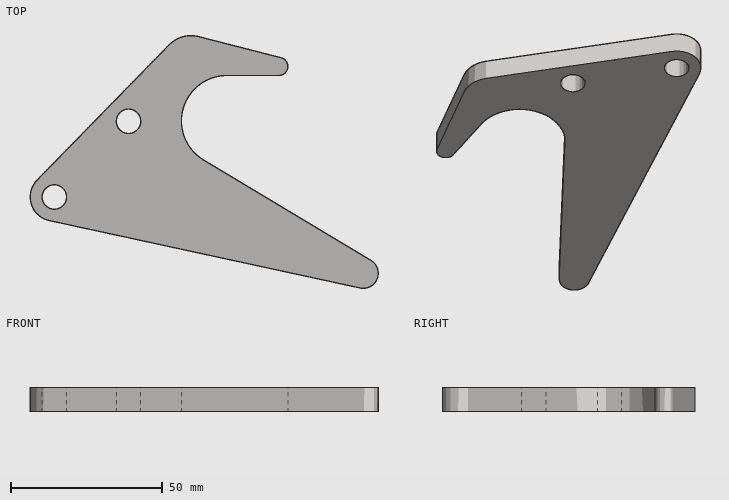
import cadquery as cq
import math

thickness = 8.0
hole_diameter = 8.0
lower_hole = (0.0, 0.0)
upper_hole = (24.5, 25.0)

overall_length = 115.0
overall_height = 83.52

heel_radius = 8.0
shoulder_radius = 10.0
short_tip_radius = 3.0
long_tip_radius = 5.0
throat_radius = 15.0

long_tip_drop = 25.2
long_tip = (overall_length - heel_radius - long_tip_radius, -long_tip_drop)
shoulder_x = 45.1
shoulder = (shoulder_x, overall_height - long_tip_drop - long_tip_radius - shoulder_radius)
throat = (57.0, 25.1)
short_tip_x = 74.15
short_tip = (short_tip_x, throat[1] + throat_radius + short_tip_radius)

corners = [
    (lower_hole, heel_radius),
    (shoulder, shoulder_radius),
    (short_tip, short_tip_radius),
    (throat, -throat_radius),
    (long_tip, long_tip_radius),
]


def edge_normal(start_corner, end_corner):
    """Outward unit normal of the straight edge tangent to two corners."""
    (start_x, start_y), start_radius = start_corner
    (end_x, end_y), end_radius = end_corner
    dx = end_x - start_x
    dy = end_y - start_y
    turn = math.acos((start_radius - end_radius) / math.hypot(dx, dy))
    angle = math.atan2(dy, dx) + turn
    return math.cos(angle), math.sin(angle)


def point_on_corner(corner, normal):
    """Point where a corner arc meets the edge with the given outward normal."""
    (x, y), radius = corner
    return x + radius * normal[0], y + radius * normal[1]


def bisector(first, second):
    """Unit vector halfway between two unit vectors."""
    x = first[0] + second[0]
    y = first[1] + second[1]
    length = math.hypot(x, y)
    return x / length, y / length


def make_plate():
    """Plate whose outline joins the corner arcs with tangent edges."""
    count = len(corners)
    normals = [edge_normal(corners[i], corners[(i + 1) % count]) for i in range(count)]
    outline = cq.Workplane("XY").moveTo(*point_on_corner(corners[0], normals[-1]))
    for i, corner in enumerate(corners):
        normal_in = normals[i - 1]
        normal_out = normals[i]
        if i > 0:
            outline = outline.lineTo(*point_on_corner(corner, normal_in))
        arc_middle = point_on_corner(corner, bisector(normal_in, normal_out))
        outline = outline.threePointArc(arc_middle, point_on_corner(corner, normal_out))
    return outline.close().extrude(thickness)


def make_mounting_holes():
    """Cylinders for the two through holes."""
    centres = cq.Workplane("XY").pushPoints([lower_hole, upper_hole])
    return centres.circle(hole_diameter / 2).extrude(thickness)


result = make_plate().cut(make_mounting_holes())